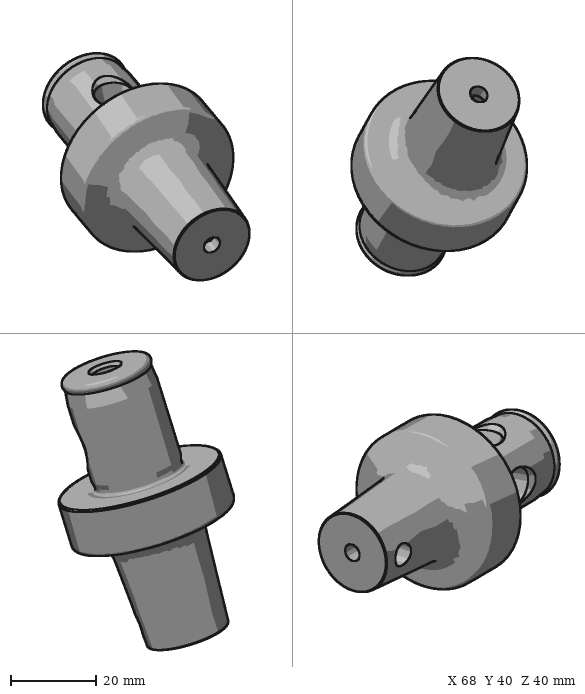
import cadquery as cq
import math

LENGTH = 68.0

PILOT_R = 11.0
BEAD_R = 1.2
BEAD_END_X = 1.85
GROOVE_R = 10.6
LEAD_IN_START_X = 2.4
LEAD_IN_END_X = 6.0
PILOT_END_X = 25.4
UNDERCUT_START_X = 26.8
UNDERCUT_R = 10.7
UNDERCUT_FILLET = 0.7

FLANGE_R = 20.0
FLANGE_FACE_X = 28.0
FLANGE_CHAMFER = 0.4
DISH_R = 12.7
DISH_ANGLE = 8.0
FLANGE_BACK_X = 39.8
BACK_ANGLE = 15.0
RIM_FILLET = 1.0

NOSE_ROOT_X = 44.9
NOSE_ROOT_R = 11.4
NOSE_END_R = 10.0
NOSE_FILLET = 4.0
NOSE_CHAMFER = 0.2

BORE_R = 3.5
BORE_DEPTH = FLANGE_FACE_X
BORE_MOUTH_R = 4.1
BORE_MOUTH_DEPTH = 0.95
DRILL_POINT_ANGLE = 59.0
COOLANT_R = 2.1

CROSS_X = 16.3
CROSS_RIM_R = 4.7
CROSS_RIM_HEIGHT = 9.7
CROSS_HALF_ANGLE = 15.0
SINK_HALF_ANGLE = 45.0
CROSS_TOP = 12.25

SCREW_X = 61.9
SCREW_HOLE_R = 2.85

EDGE_MARGIN = 0.1


def slope(degrees):
    return math.tan(math.radians(degrees))


def turned(outline):
    """Solid of revolution about the X axis."""
    return outline.close().revolve(360, (0, 0, 0), (1, 0, 0))


def round_edge(body, x, radius, fillet):
    """Fillet the circular edge of the given radius at x."""
    reach = radius + EDGE_MARGIN
    low = (x - EDGE_MARGIN, -reach, -reach)
    high = (x + EDGE_MARGIN, reach, reach)
    return body.edges(cq.selectors.BoxSelector(low, high, boundingbox=True)).fillet(fillet)


def holder_blank():
    bead_centre_r = PILOT_R - BEAD_R
    bead_end_r = bead_centre_r + math.sqrt(BEAD_R**2 - (BEAD_END_X - BEAD_R) ** 2)
    dish_bottom_x = FLANGE_FACE_X + (DISH_R - UNDERCUT_R) * slope(DISH_ANGLE)

    taper = (NOSE_ROOT_R - NOSE_END_R) / (LENGTH - NOSE_ROOT_X)
    taper_r_at_back = NOSE_ROOT_R + taper * (NOSE_ROOT_X - FLANGE_BACK_X)
    drop = (FLANGE_R - taper_r_at_back) / (1 - taper * slope(BACK_ANGLE))
    corner_x = FLANGE_BACK_X + drop * slope(BACK_ANGLE)
    corner_r = FLANGE_R - drop

    blank = turned(
        cq.Workplane("XY")
        .moveTo(0, 0)
        .lineTo(0, bead_centre_r)
        .threePointArc((BEAD_R, PILOT_R), (BEAD_END_X, bead_end_r))
        .lineTo(LEAD_IN_START_X, GROOVE_R)
        .lineTo(LEAD_IN_END_X, PILOT_R)
        .lineTo(PILOT_END_X, PILOT_R)
        .lineTo(UNDERCUT_START_X, UNDERCUT_R)
        .lineTo(dish_bottom_x, UNDERCUT_R)
        .lineTo(FLANGE_FACE_X, DISH_R)
        .lineTo(FLANGE_FACE_X, FLANGE_R - FLANGE_CHAMFER)
        .lineTo(FLANGE_FACE_X + FLANGE_CHAMFER, FLANGE_R)
        .lineTo(FLANGE_BACK_X, FLANGE_R)
        .lineTo(corner_x, corner_r)
        .lineTo(LENGTH - NOSE_CHAMFER, NOSE_END_R)
        .lineTo(LENGTH, NOSE_END_R - NOSE_CHAMFER)
        .lineTo(LENGTH, 0)
    )
    blank = round_edge(blank, dish_bottom_x, UNDERCUT_R, UNDERCUT_FILLET)
    blank = round_edge(blank, FLANGE_BACK_X, FLANGE_R, RIM_FILLET)
    return round_edge(blank, corner_x, corner_r, NOSE_FILLET)


def axial_bore():
    """Bore with a conical mouth and a drill point, running into the coolant hole."""
    point_length = (BORE_R - COOLANT_R) / slope(DRILL_POINT_ANGLE)
    return turned(
        cq.Workplane("XY")
        .moveTo(0, 0)
        .lineTo(0, BORE_MOUTH_R)
        .lineTo(BORE_MOUTH_DEPTH, BORE_R)
        .lineTo(BORE_DEPTH, BORE_R)
        .lineTo(BORE_DEPTH + point_length, COOLANT_R)
        .lineTo(LENGTH, COOLANT_R)
        .lineTo(LENGTH, 0)
    )


def cross_hole():
    """Countersunk cone from the axis up through the +Z side of the pilot."""
    bottom_r = CROSS_RIM_R - CROSS_RIM_HEIGHT * slope(CROSS_HALF_ANGLE)
    top_r = CROSS_RIM_R + (CROSS_TOP - CROSS_RIM_HEIGHT) * slope(SINK_HALF_ANGLE)
    cutter = (
        cq.Workplane("XZ")
        .moveTo(0, 0)
        .lineTo(bottom_r, 0)
        .lineTo(CROSS_RIM_R, CROSS_RIM_HEIGHT)
        .lineTo(top_r, CROSS_TOP)
        .lineTo(0, CROSS_TOP)
        .close()
        .revolve(360, (0, 0, 0), (0, 1, 0))
    )
    return cutter.translate((CROSS_X, 0, 0))


def screw_hole():
    """Radial hole from the axis out through the +Y side of the nose."""
    return cq.Workplane("XZ").center(SCREW_X, 0).circle(SCREW_HOLE_R).extrude(-NOSE_ROOT_R)


def make_holder():
    holder = holder_blank().cut(axial_bore()).cut(screw_hole())
    for turn in (0, -90):
        holder = holder.cut(cross_hole().rotate((0, 0, 0), (1, 0, 0), turn))
    return holder


holder = make_holder()

result = cq.Compound.makeCompound([holder.solids().val()])